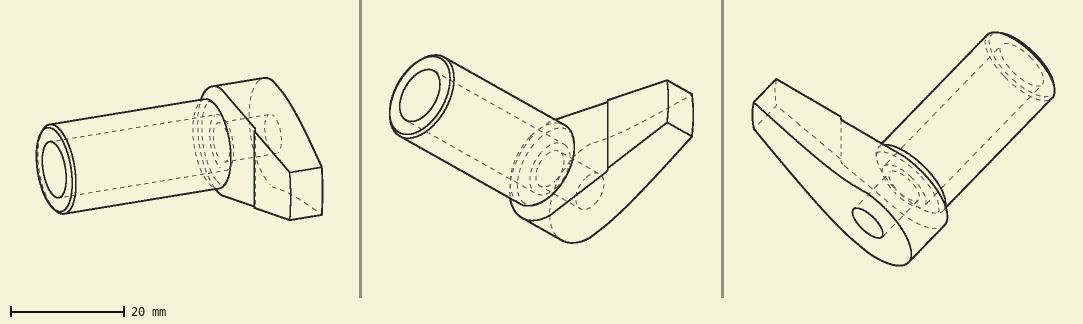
import cadquery as cq
import math


head_radius = 10.0
head_thickness = 10.0
arm_reach = 30.0
tip_half_width = 4.5
cone_angle = 12.0

relief_flat_end = 14.0
pad_height = 0.5
pad_fillet_radius = 1.0

shaft_radius = 8.0
shaft_length = 32.5
end_chamfer = 0.5
neck_radius = 7.5
neck_groove_radius = 1.0

through_diameter = 7.0
counterbore_diameter = 10.0
counterbore_depth = shaft_length


def make_arm_outline():
    """Round head and tapered arm, extruded along Y over the head and the pad."""
    tip_x = math.sqrt(arm_reach**2 - tip_half_width**2)
    return (
        cq.Workplane("XZ", origin=(0, head_thickness, 0))
        .moveTo(0, head_radius)
        .lineTo(tip_x, tip_half_width)
        .threePointArc((arm_reach, 0), (tip_x, -tip_half_width))
        .lineTo(0, -head_radius)
        .threePointArc((-head_radius, 0), (0, head_radius))
        .close()
        .extrude(head_thickness + pad_height)
    )


def make_turned_blank():
    """Disc with a flat centre and a conical back, reaching down to the pad face."""
    cone_drop = (arm_reach - head_radius) * math.tan(math.radians(cone_angle))
    return (
        cq.Workplane("XY")
        .moveTo(0, -pad_height)
        .lineTo(arm_reach, -pad_height)
        .lineTo(arm_reach, head_thickness - cone_drop)
        .lineTo(head_radius, head_thickness)
        .lineTo(0, head_thickness)
        .close()
        .revolve(360, (0, 0, 0), (0, 1, 0))
    )


def make_pad_relief():
    """Material removed beside the pad, ending in a concave fillet against the pad edge."""
    centre_y = -pad_fillet_radius
    fillet_width = math.sqrt(pad_fillet_radius**2 - (pad_fillet_radius - pad_height) ** 2)
    pad_start = relief_flat_end + fillet_width
    edge_angle = math.atan2(pad_fillet_radius - pad_height, fillet_width)
    mid_angle = (edge_angle + math.pi / 2) / 2
    fillet_middle = (
        relief_flat_end + pad_fillet_radius * math.cos(mid_angle),
        centre_y + pad_fillet_radius * math.sin(mid_angle),
    )
    return (
        cq.Workplane("XY")
        .moveTo(-head_radius, -pad_height)
        .lineTo(-head_radius, 0)
        .lineTo(relief_flat_end, 0)
        .threePointArc(fillet_middle, (pad_start, -pad_height))
        .close()
        .extrude(head_radius, both=True)
    )


def make_shaft():
    """Turned shaft with a round undercut below the head and a chamfered free end."""
    groove_centre_r = neck_radius + neck_groove_radius
    edge_offset = groove_centre_r - shaft_radius
    groove_end = -neck_groove_radius - math.sqrt(neck_groove_radius**2 - edge_offset**2)
    return (
        cq.Workplane("XY")
        .moveTo(0, 0)
        .lineTo(groove_centre_r, 0)
        .threePointArc((neck_radius, -neck_groove_radius), (shaft_radius, groove_end))
        .lineTo(shaft_radius, -shaft_length + end_chamfer)
        .lineTo(shaft_radius - end_chamfer, -shaft_length)
        .lineTo(0, -shaft_length)
        .close()
        .revolve(360, (0, 0, 0), (0, 1, 0))
    )


def make_bore():
    """Through hole with a wider bore entering from the free end of the shaft."""
    through_hole = (
        cq.Workplane("XZ", origin=(0, head_thickness, 0))
        .circle(through_diameter / 2)
        .extrude(head_thickness + shaft_length)
    )
    counterbore = (
        cq.Workplane("XZ", origin=(0, counterbore_depth - shaft_length, 0))
        .circle(counterbore_diameter / 2)
        .extrude(counterbore_depth)
    )
    return through_hole.union(counterbore)


head = make_arm_outline().intersect(make_turned_blank()).cut(make_pad_relief())
result = head.union(make_shaft()).cut(make_bore())